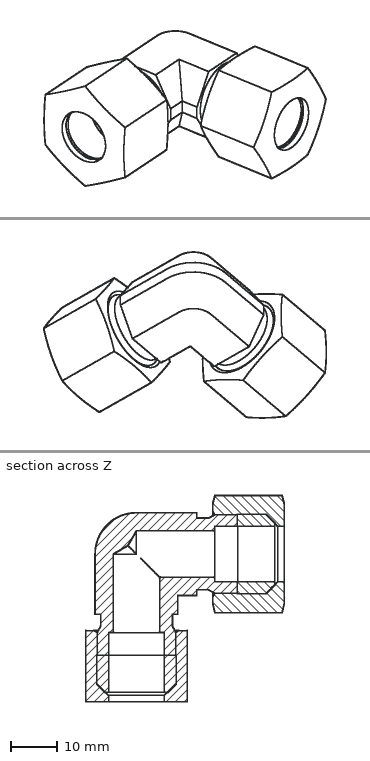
import cadquery as cq
import math


block_height = 17.0
block_width = 17.95
block_length = 13.05

neck_radius = 7.82
neck_length = 2.6
flare_angle = 30.0
thread_radius = 8.55
stub_end = 21.9

bore_radius = 5.0
drill_point_angle = 120.0
tube_radius = 6.0
tube_stop = 17.0

nut_flats = 22.0
nut_start = 16.5
nut_length = 15.5
nut_chamfer_angle = 15.0
nut_face_radius = 10.95
nut_mouth_radius = 9.2
nut_mouth_angle = 60.0
nut_lip = 1.45

ring_gap = 0.63

half_height = block_height / 2
half_width = block_width / 2
top_flat_half = half_height * math.tan(math.radians(30))
hexagon_corner = half_height / math.cos(math.radians(30))
side_flat_half = (hexagon_corner - half_width) * math.tan(math.radians(60))

block_side = [
    (top_flat_half, half_height),
    (half_width, side_flat_half),
    (half_width, -side_flat_half),
    (top_flat_half, -half_height),
]

neck_end = block_length + neck_length
thread_start = neck_end + (thread_radius - neck_radius) / math.tan(math.radians(flare_angle))
drill_tip = bore_radius / math.tan(math.radians(drill_point_angle / 2))
nut_end = nut_start + nut_length
nut_corner_radius = nut_flats / 2 / math.cos(math.radians(30))
nut_chamfer = (nut_corner_radius - nut_face_radius) * math.tan(math.radians(nut_chamfer_angle))
nut_mouth_depth = (nut_mouth_radius - thread_radius) / math.tan(math.radians(nut_mouth_angle))
lip_start = nut_end - nut_lip
cone_start = lip_start - (thread_radius - tube_radius)
ring_end = lip_start - ring_gap
ring_face_radius = tube_radius + ring_gap

legs = [(0, 0), (-90, 30)]


def turned(points):
    """Revolve a closed (x, radius) outline about the X axis."""
    return cq.Workplane("XY").polyline(points).close().revolve(360, (0, 0, 0), (1, 0, 0))


def onto_leg(body, turn):
    return body.rotate((0, 0, 0), (0, 0, 1), turn)


def block_leg():
    """Straight bar of the block, from the origin outward."""
    other_side = [(-across, up) for across, up in reversed(block_side)]
    section = block_side + other_side
    return cq.Workplane("YZ").polyline(section).close().extrude(block_length)


def block_bend():
    """Rounded outer corner: half of the bar section revolved about Z."""
    half_section = [(0, half_height)] + block_side + [(0, -half_height)]
    return cq.Workplane("XZ").polyline(half_section).close().revolve(360, (0, 0, 0), (0, 1, 0))


def stub():
    """Neck, runout cone and thread, starting inside the block."""
    return turned([
        (0, 0),
        (0, neck_radius),
        (neck_end, neck_radius),
        (thread_start, thread_radius),
        (stub_end, thread_radius),
        (stub_end, 0),
    ])


def bore():
    """Drilled hole with a conical point beyond the origin, widened to the tube seat."""
    return turned([
        (-drill_tip, 0),
        (0, bore_radius),
        (tube_stop, bore_radius),
        (tube_stop, tube_radius),
        (stub_end, tube_radius),
        (stub_end, 0),
    ])


def make_elbow():
    body = block_bend()
    for turn, _ in legs:
        body = body.union(onto_leg(block_leg(), turn)).union(onto_leg(stub(), turn))
    for turn, _ in legs:
        body = body.cut(onto_leg(bore(), turn))
    return body


def make_nut(turn, corner_angle):
    hexagon = (
        cq.Workplane("YZ", origin=(nut_start, 0, 0))
        .polygon(6, 2 * nut_corner_radius)
        .extrude(nut_length)
    )
    chamfer_envelope = turned([
        (nut_start, 0),
        (nut_start, nut_face_radius),
        (nut_start + nut_chamfer, nut_corner_radius),
        (nut_end - nut_chamfer, nut_corner_radius),
        (nut_end, nut_face_radius),
        (nut_end, 0),
    ])
    hole = turned([
        (nut_start, 0),
        (nut_start, nut_mouth_radius),
        (nut_start + nut_mouth_depth, thread_radius),
        (cone_start, thread_radius),
        (lip_start, tube_radius),
        (nut_end, tube_radius),
        (nut_end, 0),
    ])
    body = hexagon.intersect(chamfer_envelope).cut(hole)
    return onto_leg(body.rotate((0, 0, 0), (1, 0, 0), corner_angle), turn)


def make_cutting_ring(turn):
    """Sleeve between the stub end and the nut's clamping cone."""
    body = turned([
        (stub_end, tube_radius),
        (stub_end, thread_radius),
        (cone_start, thread_radius),
        (ring_end, ring_face_radius),
        (ring_end, tube_radius),
    ])
    return onto_leg(body, turn)


elbow = make_elbow()
nuts = [make_nut(turn, corner_angle) for turn, corner_angle in legs]
cutting_rings = [make_cutting_ring(turn) for turn, _ in legs]

result = cq.Compound.makeCompound(
    [elbow.val()] + [nut.val() for nut in nuts] + [ring.val() for ring in cutting_rings]
)